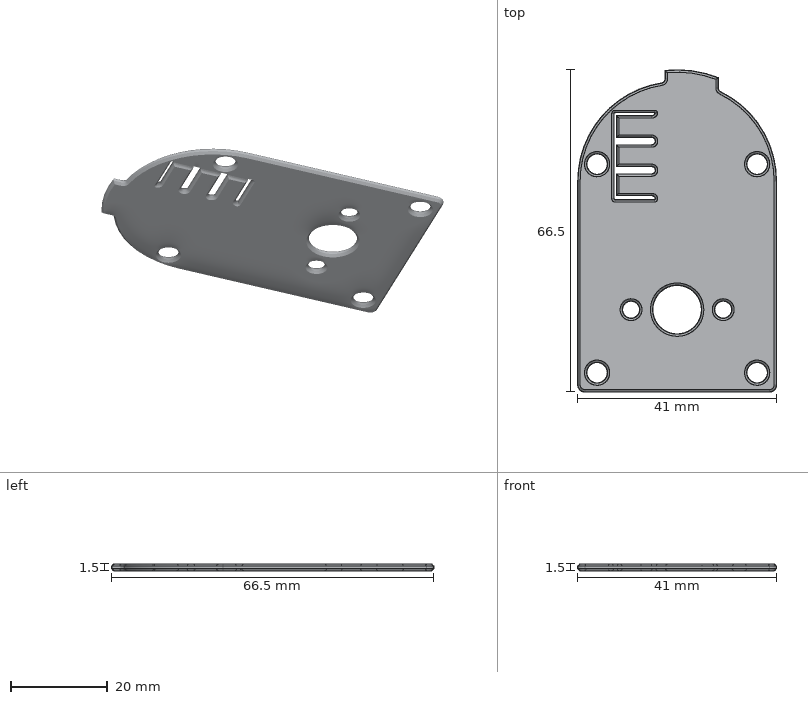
import cadquery as cq
import math

width = 41.0
thickness = 1.5
chamfer = 0.5
chamfer_angle = 45
corner_radius = 1.5
dome_radius = width / 2
dome_center_y = 43.5

tab_radius = 22.96
tab_left = -2.5
tab_right = 8.5
tab_root_radius = 0.8

corner_hole_diameter = 4.2
corner_hole_x = 16.5
corner_hole_rows = (4.0, 47.0)
shaft_hole_diameter = 10.0
shaft_hole_y = 17.0
screw_hole_diameter = 3.5
screw_hole_x = 9.5

comb_left = -13.0
comb_right = -4.5
comb_top = 57.6
comb_bottom = 39.7
comb_gap = 0.5
comb_corner_radius = 0.2
slot_pitch = 6.0
slot_height = 1.5
slot_count = 4
top_slot_y = 57.75


def height_on_arc(radius, x):
    """Y of a dome-concentric arc at the given X."""
    return dome_center_y + math.sqrt(radius**2 - x**2)


def make_plate():
    """Domed plate with an off-centre tab and rounded corners."""
    half_width = width / 2
    arc_middle = dome_radius * math.sqrt(0.5)
    dome_middle_y = dome_center_y + arc_middle
    tab_middle = (tab_left + tab_right) / 2
    plate = (
        cq.Workplane("XY")
        .moveTo(-half_width, 0)
        .lineTo(half_width, 0)
        .lineTo(half_width, dome_center_y)
        .threePointArc((arc_middle, dome_middle_y), (tab_right, height_on_arc(dome_radius, tab_right)))
        .lineTo(tab_right, height_on_arc(tab_radius, tab_right))
        .threePointArc(
            (tab_middle, height_on_arc(tab_radius, tab_middle)),
            (tab_left, height_on_arc(tab_radius, tab_left)),
        )
        .lineTo(tab_left, height_on_arc(dome_radius, tab_left))
        .threePointArc((-arc_middle, dome_middle_y), (-half_width, dome_center_y))
        .close()
        .extrude(thickness)
    )
    plate = plate.edges("|Z and <Y").fillet(corner_radius)
    for x in (tab_left, tab_right):
        root = cq.selectors.NearestToPointSelector((x, height_on_arc(dome_radius, x), thickness / 2))
        plate = plate.edges("|Z").edges(root).fillet(tab_root_radius)
    return plate


def make_holes(diameter, centers):
    return cq.Workplane("XY").pushPoints(centers).circle(diameter / 2).extrude(thickness)


def flare(sketch_at):
    """Through cutter that widens by the chamfer at both faces.

    sketch_at(grow) returns the cutter's outline at Z = 0, enlarged all round by grow.
    """
    mouth = sketch_at(chamfer).extrude(chamfer, taper=chamfer_angle)
    opposite_mouth = mouth.mirror("XY").translate((0, 0, thickness))
    return sketch_at(0).extrude(thickness).union(mouth).union(opposite_mouth)


def comb_frame(grow):
    """Bounding rectangle of the comb, with rounded corners."""
    length = comb_right - comb_left + 2 * grow
    height = comb_top - comb_bottom + 2 * grow
    center = ((comb_left + comb_right) / 2, (comb_top + comb_bottom) / 2)
    frame = cq.Sketch().rect(length, height).vertices().fillet(comb_corner_radius + grow)
    return cq.Workplane("XY").center(*center).placeSketch(frame)


def comb_spine(grow):
    """Narrow vertical gap that joins the slots."""
    height = comb_top - comb_bottom + 2 * grow
    center = (comb_left + comb_gap / 2, (comb_top + comb_bottom) / 2)
    return cq.Workplane("XY").center(*center).rect(comb_gap + 2 * grow, height)


def comb_slot(grow):
    """Topmost round-ended slot; its left end lies beyond the frame so that only the right end shows."""
    slot_left = comb_left - slot_height
    length = comb_right - slot_left
    center = ((comb_right + slot_left) / 2, top_slot_y)
    return cq.Workplane("XY").center(*center).slot2D(length + 2 * grow, slot_height + 2 * grow)


def make_comb():
    """Comb cutter: the spine and its slots, clipped by the frame."""
    comb = flare(comb_spine)
    slot = flare(comb_slot)
    for i in range(slot_count):
        comb = comb.union(slot.translate((0, -i * slot_pitch, 0)))
    return comb.intersect(flare(comb_frame))


corner_centers = [(x, y) for x in (-corner_hole_x, corner_hole_x) for y in corner_hole_rows]
screw_centers = [(x, shaft_hole_y) for x in (-screw_hole_x, screw_hole_x)]

result = (
    make_plate()
    .cut(make_holes(corner_hole_diameter, corner_centers))
    .cut(make_holes(shaft_hole_diameter, [(0, shaft_hole_y)]))
    .cut(make_holes(screw_hole_diameter, screw_centers))
    .faces("<Z or >Z")
    .edges()
    .chamfer(chamfer)
    .cut(make_comb())
)